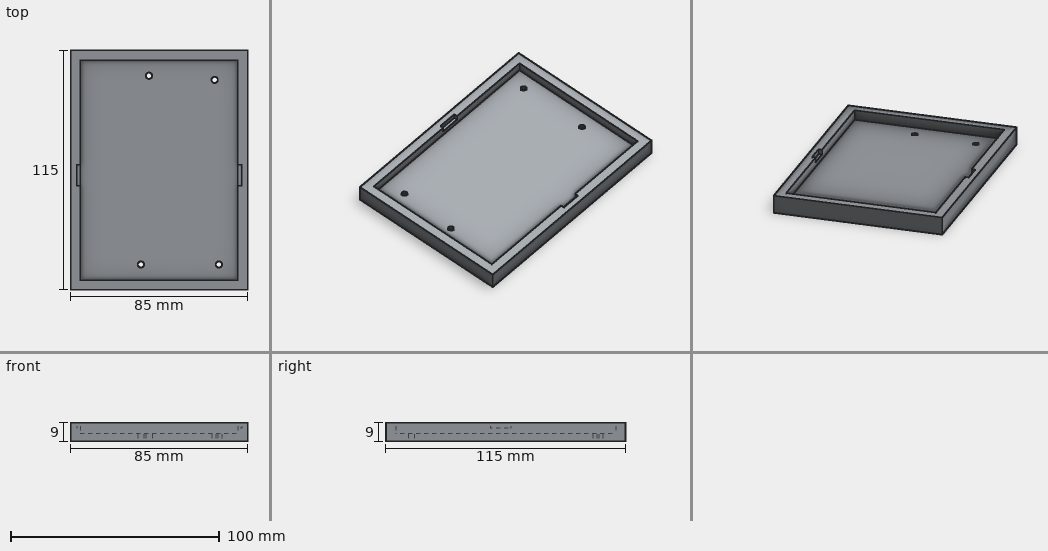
import cadquery as cq

LENGTH_X = 85.0
LENGTH_Y = 115.0
HEIGHT = 9.0

POCKET_X = 75.5
POCKET_Y = 105.5
POCKET_DEPTH = 5.0

NOTCH_LENGTH = 10.0
NOTCH_REACH = 1.75
NOTCH_DEPTH = 2.5
NOTCH_CENTER_Y = -2.5

HOLE_DIAMETER = 2.9
HOLE_CENTERS = [
    (-4.9, 45.2),
    (26.6, 43.2),
    (-8.8, -45.3),
    (28.6, -45.3),
]


def box_from_top(size_x, size_y, depth, center_y=0.0):
    """Box hanging down from the top face, centred on X = 0."""
    return (
        cq.Workplane("XY", origin=(0, center_y, HEIGHT))
        .rect(size_x, size_y)
        .extrude(-depth)
    )


def mounting_holes():
    """Cylinders through the full height at every hole centre."""
    return (
        cq.Workplane("XY")
        .pushPoints(HOLE_CENTERS)
        .circle(HOLE_DIAMETER / 2)
        .extrude(HEIGHT)
    )


block = box_from_top(LENGTH_X, LENGTH_Y, HEIGHT)
pocket = box_from_top(POCKET_X, POCKET_Y, POCKET_DEPTH)

notch_span = POCKET_X + 2 * NOTCH_REACH
notches = box_from_top(notch_span, NOTCH_LENGTH, NOTCH_DEPTH, NOTCH_CENTER_Y)

result = block.cut(pocket).cut(notches).cut(mounting_holes())